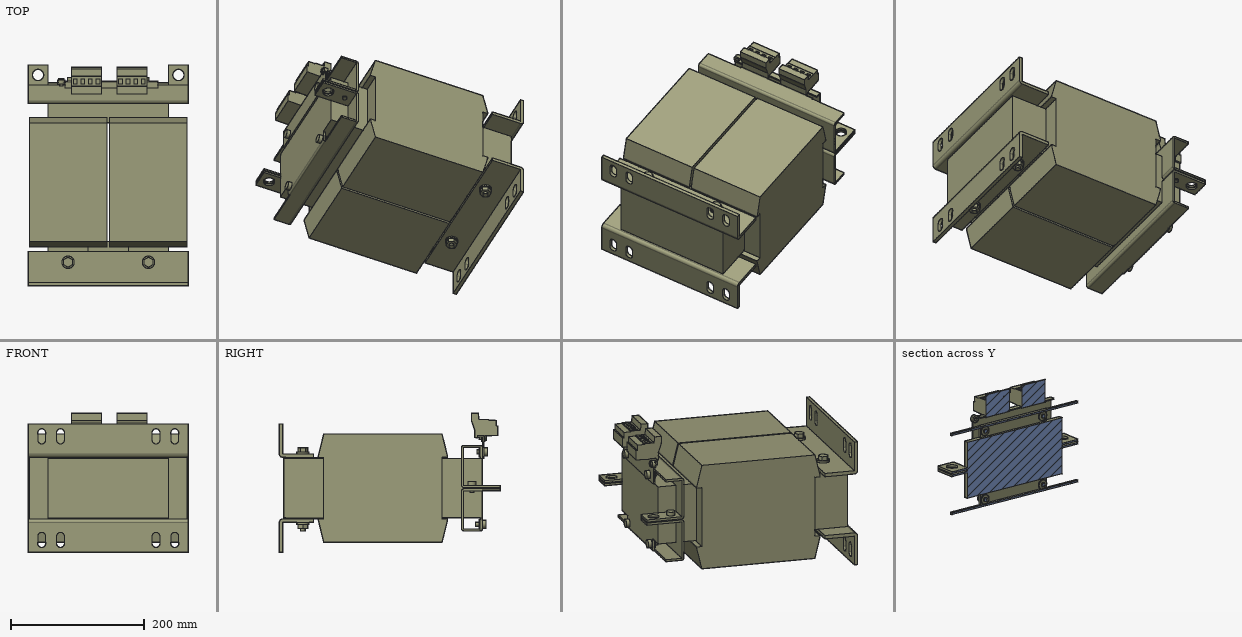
import cadquery as cq


WIDTH = 240.0
DEPTH = 331.0

CORE_WIDTH = 180.7
CORE_HALF_HEIGHT = 44.7
CORE_FRONT = 6.5
CORE_BACK = 304.2
LIMB = CORE_WIDTH / 3

COIL_WIDTH = 116.5
COIL_GAP = 3.3
COIL_HALF_HEIGHT = 81.0
COIL_FRONT = 66.5
COIL_BACK = CORE_BACK - LIMB
COIL_FLARE = 8.3
COIL_LIP_Z = 46.0
COIL_LIP_EDGE = 1.3

ANGLE_SHEET = 5.3
ANGLE_REACH = 51.5
ANGLE_TOP = 96.3
ANGLE_SEAT = COIL_LIP_Z
SPACER_SETBACK = 3.3
SLOT_WIDTH = 11.5
SLOT_LENGTH = 22.5
SLOT_Z = 77.5
SLOT_X = (71.5, 99.5)

BOLT_X = LIMB
BOLT_Y = 35.5
BOLT_SIZE = 7.5
BOLT_END = 64.2
BOLT_HEAD_CORNERS = 15.2
BOLT_NUT_CORNERS = 17.0
BOLT_HEX_HEIGHT = 6.3
BOLT_WASHER = 18.5
BOLT_WASHER_HEIGHT = 3.0

CHANNEL_SHEET = 3.3
CHANNEL_FRONT = 272.7
CHANNEL_FLANGE_END = CORE_BACK - CHANNEL_SHEET
CHANNEL_TOP = 64.2
CHANNEL_GAP = 1.5
CHANNEL_BEND = 4.0
TAB_WIDTH = 29.8
TAB_HOLE = 16.5
TAB_HOLE_Y = 315.8
LIP_HALF_WIDTH = 63.0
LIP_BEND = 2.5

SCREW_HEAD = 12.5
SCREW_HEAD_HEIGHT = 5.5
SCREW_SIZE = 6.5
SCREW_LENGTH = 10.5
LIP_SCREW_X = 55.0
LIP_SCREW_Z = 54.3
LIP_WASHER = 14.5
LIP_WASHER_HEIGHT = 2.0
TAB_SCREW_Y = 288.5

PLATE_HALF_WIDTH = 74.5
PLATE_SHEET = 2.3
PLATE_BEND = 2.0
PLATE_BACK = CORE_BACK + PLATE_SHEET
PLATE_TOP = 78.8
PLATE_FLANGE_FRONT = 296.5
PLATE_FLANGE_LEFT = -64.5

EARTH_X = -70.2
EARTH_Z = 75.0
EARTH_FRONT = 299.2
EARTH_SIZE = 5.0
EARTH_HEX = 8.0
EARTH_HEAD_END = 310.5
EARTH_WASHER = 11.3
EARTH_WASHER_HEIGHT = 1.5

TERMINAL_WIDTH = 45.5
TERMINAL_CENTRES = (-32.5, 35.5)
TERMINAL_STEP_Z = 103.0
TERMINAL_PROFILE = [
    (327.5, 78.8),
    (327.5, 93.5),
    (325.0, 93.5),
    (325.0, 101.5),
    (314.5, 102.0),
    (313.0, TERMINAL_STEP_Z),
    (299.2, TERMINAL_STEP_Z),
    (298.2, 112.2),
    (287.5, 112.2),
    (287.5, 101.3),
    (288.5, 98.3),
    (292.5, 86.7),
    (292.5, 75.8),
    (296.5, 74.8),
    (299.2, 77.8),
]
OPENINGS_PER_TERMINAL = 4
OPENING_SIZE = (5.5, 7.3)
OPENING_Y = 306.2
OPENING_DEPTH = 3.3


def block(x_range, y_range, z_range):
    """Box given by its limits along each axis."""
    x0, x1 = x_range
    y0, y1 = y_range
    z0, z1 = z_range
    return cq.Workplane("XY").box(x1 - x0, y1 - y0, z1 - z0, centered=False).translate((x0, y0, z0))


def side_profile(points, x_from, x_to):
    """Prism along X from an outline of (y, z) points."""
    outline = cq.Workplane("YZ", origin=(x_from, 0, 0)).polyline(points).close()
    return outline.extrude(x_to - x_from)


def disc(start, direction, diameter, length):
    """Cylinder from a start point along a direction."""
    cylinder = cq.Solid.makeCylinder(diameter / 2, length, cq.Vector(*start), cq.Vector(*direction))
    return cq.Workplane(cylinder)


def hexagon(start, direction, across_corners, length):
    """Hexagonal prism from a start point along a direction."""
    plane = cq.Plane(origin=start, xDir=(1, 0, 0), normal=direction)
    return cq.Workplane(plane).polygon(6, across_corners).extrude(length)


def below(upper):
    """Mirror image of an upper part about the mid-plane of the core."""
    return upper.mirror("XY")


def make_core():
    """Closed core with a window for the inner sides of the coils."""
    half = CORE_WIDTH / 2
    heights = (-CORE_HALF_HEIGHT, CORE_HALF_HEIGHT)
    window = block((-LIMB / 2, LIMB / 2), (COIL_FRONT, COIL_BACK), heights)
    return block((-half, half), (CORE_FRONT, CORE_BACK), heights).cut(window)


def make_coil():
    """Right-hand coil, with ends that flare out over the yokes."""
    x0 = COIL_GAP / 2
    upper = [
        (COIL_FRONT, 0),
        (COIL_FRONT, COIL_LIP_Z),
        (COIL_FRONT - COIL_FLARE, COIL_LIP_Z),
        (COIL_FRONT - COIL_FLARE, COIL_LIP_Z + COIL_LIP_EDGE),
        (COIL_FRONT, COIL_HALF_HEIGHT),
        (COIL_BACK, COIL_HALF_HEIGHT),
        (COIL_BACK + COIL_FLARE, COIL_LIP_Z + COIL_LIP_EDGE),
        (COIL_BACK + COIL_FLARE, COIL_LIP_Z),
        (COIL_BACK, COIL_LIP_Z),
        (COIL_BACK, 0),
    ]
    half = side_profile(upper, x0, x0 + COIL_WIDTH)
    return half.union(below(half))


def make_angle():
    """Upper front bracket with its slots and the spacer that seats it on the core."""
    half = WIDTH / 2
    profile = [
        (0, ANGLE_SEAT),
        (ANGLE_REACH, ANGLE_SEAT),
        (ANGLE_REACH, ANGLE_SEAT + ANGLE_SHEET),
        (ANGLE_SHEET, ANGLE_SEAT + ANGLE_SHEET),
        (ANGLE_SHEET, ANGLE_TOP),
        (0, ANGLE_TOP),
    ]
    angle = side_profile(profile, -half, half)
    angle = angle.edges("|X and <Y and <Z").fillet(ANGLE_SHEET)
    slot_points = [(side * x, SLOT_Z) for side in (-1, 1) for x in SLOT_X]
    slots = (
        cq.Workplane("XZ")
        .pushPoints(slot_points)
        .slot2D(SLOT_LENGTH, SLOT_WIDTH, 90)
        .extrude(-ANGLE_SHEET)
    )
    spacer = block(
        (-LIMB / 2, LIMB / 2),
        (CORE_FRONT + SPACER_SETBACK, COIL_FRONT),
        (CORE_HALF_HEIGHT, ANGLE_SEAT),
    )
    return angle.cut(slots).union(spacer)


def make_bolt(x):
    """Clamping bolt with washers, its head on top and its nut below, turned to each other."""
    seat = ANGLE_SEAT + ANGLE_SHEET
    hex_start = seat + BOLT_WASHER_HEIGHT
    bolt = disc((x, BOLT_Y, -BOLT_END), (0, 0, 1), BOLT_SIZE, BOLT_END + hex_start)
    for up in (-1, 1):
        bolt = bolt.union(disc((x, BOLT_Y, up * seat), (0, 0, up), BOLT_WASHER, BOLT_WASHER_HEIGHT))
    head = hexagon((x, BOLT_Y, hex_start), (0, 0, 1), BOLT_HEAD_CORNERS, BOLT_HEX_HEIGHT)
    head = head.rotate((x, BOLT_Y, 0), (x, BOLT_Y, 1), 90)
    nut = hexagon((x, BOLT_Y, -hex_start), (0, 0, -1), BOLT_NUT_CORNERS, BOLT_HEX_HEIGHT)
    return bolt.union(head).union(nut)


def make_channel():
    """Upper rear channel with its two end tabs and the lip along its top edge."""
    half = WIDTH / 2
    outer = block((-half, half), (CHANNEL_FRONT, CHANNEL_FLANGE_END), (CHANNEL_GAP / 2, CHANNEL_TOP))
    outer = outer.edges("|X and <Y").fillet(CHANNEL_BEND)
    inside = block(
        (-half, half),
        (CHANNEL_FRONT + CHANNEL_SHEET, CHANNEL_FLANGE_END),
        (CHANNEL_GAP / 2 + CHANNEL_SHEET, CHANNEL_TOP - CHANNEL_SHEET),
    )
    channel = outer.cut(inside)

    lip = block(
        (-LIP_HALF_WIDTH, LIP_HALF_WIDTH),
        (CHANNEL_FLANGE_END, CORE_BACK),
        (CORE_HALF_HEIGHT, CHANNEL_TOP),
    )
    channel = channel.union(lip.edges("|X and >Y and >Z").fillet(LIP_BEND))

    tab_z = (CHANNEL_GAP / 2, CHANNEL_GAP / 2 + CHANNEL_SHEET)
    for side in (-1, 1):
        x_edges = sorted((side * half, side * (half - TAB_WIDTH)))
        tab = block(x_edges, (CHANNEL_FLANGE_END, DEPTH), tab_z)
        hole_start = (side * (half - TAB_WIDTH / 2), TAB_HOLE_Y, 0)
        hole = disc(hole_start, (0, 0, 1), TAB_HOLE, CHANNEL_TOP)
        channel = channel.union(tab.cut(hole))
    return channel


def make_screw(seat, direction):
    """Cheese-head screw: the head stands on the seat, the shank runs the other way."""
    backwards = tuple(-component for component in direction)
    head = disc(seat, direction, SCREW_HEAD, SCREW_HEAD_HEIGHT)
    return head.union(disc(seat, backwards, SCREW_SIZE, SCREW_LENGTH))


def make_lip_screw(x, head_seat, z):
    """Screw through the lip of a channel, with a washer on the inner side of the lip."""
    washer = disc((x, CHANNEL_FLANGE_END, z), (0, -1, 0), LIP_WASHER, LIP_WASHER_HEIGHT)
    return make_screw((x, head_seat, z), (0, 1, 0)).union(washer)


def make_terminal_plate():
    """Upright plate bent forwards along its top; the flange stops short of the earth screw."""
    half = PLATE_HALF_WIDTH
    plate = block((-half, half), (CORE_BACK, PLATE_BACK), (CORE_HALF_HEIGHT, PLATE_TOP))
    flange = block(
        (PLATE_FLANGE_LEFT, half),
        (PLATE_FLANGE_FRONT, PLATE_BACK),
        (PLATE_TOP - PLATE_SHEET, PLATE_TOP),
    )
    return plate.union(flange).edges("|X and >Y and >Z").fillet(PLATE_BEND)


def make_earth_screw():
    """Hexagon-head screw with a washer on each side of the terminal plate."""
    back = (0, 1, 0)
    shank = disc((EARTH_X, EARTH_FRONT, EARTH_Z), back, EARTH_SIZE, PLATE_BACK - EARTH_FRONT)
    head = hexagon((EARTH_X, PLATE_BACK, EARTH_Z), back, EARTH_HEX, EARTH_HEAD_END - PLATE_BACK)
    washer_start = (EARTH_X, CORE_BACK - EARTH_WASHER_HEIGHT, EARTH_Z)
    washer_stack = disc(washer_start, back, EARTH_WASHER, PLATE_SHEET + 2 * EARTH_WASHER_HEIGHT)
    return shank.union(head).union(washer_stack)


def make_terminal(x_centre):
    """Terminal block with a row of square wire openings."""
    terminal = side_profile(TERMINAL_PROFILE, x_centre - TERMINAL_WIDTH / 2, x_centre + TERMINAL_WIDTH / 2)
    openings = (
        cq.Workplane("XY", origin=(x_centre, OPENING_Y, TERMINAL_STEP_Z))
        .rarray(TERMINAL_WIDTH / OPENINGS_PER_TERMINAL, 3.3, OPENINGS_PER_TERMINAL, 1)
        .rect(*OPENING_SIZE)
        .extrude(-OPENING_DEPTH)
    )
    return terminal.cut(openings)


coil = make_coil()
angle = make_angle()
channel = make_channel()

result = make_core()
for upper in (angle, channel):
    result = result.union(upper).union(below(upper))
result = result.union(coil).union(coil.mirror("YZ"))
result = result.union(make_terminal_plate()).union(make_earth_screw())
for centre in TERMINAL_CENTRES:
    result = result.union(make_terminal(centre))
for side in (-1, 1):
    result = result.union(make_bolt(side * BOLT_X))
    result = result.union(make_lip_screw(side * LIP_SCREW_X, PLATE_BACK, LIP_SCREW_Z))
    result = result.union(make_lip_screw(side * LIP_SCREW_X, CORE_BACK, -LIP_SCREW_Z))
    tab_seat = (side * (WIDTH - TAB_WIDTH) / 2, TAB_SCREW_Y, CHANNEL_GAP / 2 + CHANNEL_SHEET)
    result = result.union(make_screw(tab_seat, (0, 0, 1)))